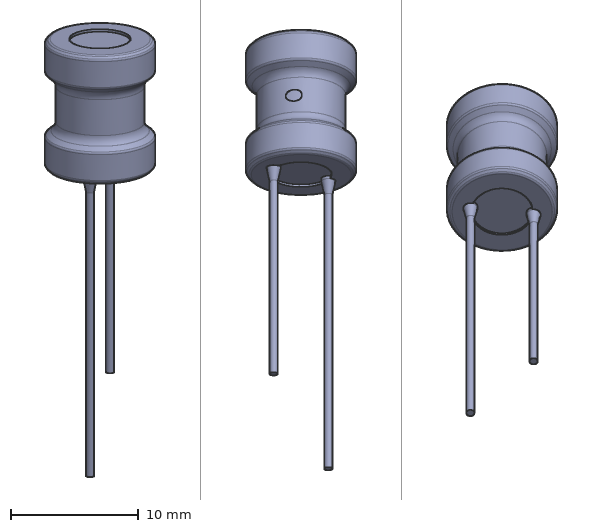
import cadquery as cq
import math

total_height = 35.35
body_height = 10.68
body_radius = 4.35
body_bottom = total_height - body_height
body_middle = body_bottom + body_height / 2

waist_radius = 3.5
waist_half_length = 1.5
waist_fillet = 1.0
cone_slope = math.radians(50)
convex_fillet = 0.25
rim_chamfer = 0.32
rim_slope = math.radians(45)

sleeve_wall = 0.2
mouth_radius = 2.4

lead_offset = 1.75
wire_radius = 0.325
solder_radius = 0.55
solder_length = 1.15
short_wire_end = 7.0

mark_radius = 0.5
mark_offset = 2.23
mark_height = body_middle - 0.07
mark_direction = 45

fillet_sum = waist_fillet + convex_fillet
waist_depth = body_radius - waist_radius
cone_length = (waist_depth - fillet_sum * (1 - math.cos(cone_slope))) / math.sin(cone_slope)
flange_start = (
    waist_half_length + fillet_sum * math.sin(cone_slope) + cone_length * math.cos(cone_slope)
)

rim_width = rim_chamfer + convex_fillet * math.tan(rim_slope / 2)

face_center = (body_radius - rim_width, body_height / 2 - convex_fillet)
rim_center = (body_radius - convex_fillet, body_height / 2 - rim_width)
flange_center = (body_radius - convex_fillet, flange_start)
waist_center = (waist_radius + waist_fillet, waist_half_length)


def arc_points(center, radius, start, end):
    """Start, middle and end of an arc, with angles measured from the outward radial direction."""
    return [
        (center[0] + radius * math.cos(angle), center[1] + radius * math.sin(angle))
        for angle in (start, (start + end) / 2, end)
    ]


def make_dumbbell(inset):
    """Solid of revolution whose surface lies `inset` inside the outer surface of the body."""
    convex = convex_fillet - inset
    concave = waist_fillet + inset
    half_height = body_height / 2 - inset
    upper = (
        arc_points(face_center, convex, math.pi / 2, rim_slope)
        + arc_points(rim_center, convex, rim_slope, 0)
        + arc_points(flange_center, convex, 0, -cone_slope)
        + arc_points(waist_center, concave, math.pi - cone_slope, math.pi)
    )
    lower = [(radius, -height) for radius, height in reversed(upper)]
    points = upper + lower

    outline = cq.Workplane("XZ").moveTo(0, half_height)
    for start, middle, end in zip(points[0::3], points[1::3], points[2::3]):
        outline = outline.lineTo(*start).threePointArc(middle, end)
    outline = outline.lineTo(0, -half_height).close()
    return outline.revolve(360, (0, 0, 0), (0, 1, 0)).translate((0, 0, body_middle))


def make_lead(side, wire_end):
    """Solder and wire in one piece, on the diagonal at +X -Y (side 1) or -X +Y (side -1)."""
    lead_top = body_bottom + sleeve_wall
    lead = (
        cq.Workplane("XZ")
        .moveTo(0, lead_top)
        .lineTo(solder_radius, lead_top)
        .lineTo(solder_radius, body_bottom)
        .lineTo(wire_radius, body_bottom - solder_length)
        .lineTo(wire_radius, wire_end)
        .lineTo(0, wire_end)
        .close()
        .revolve(360, (0, 0, 0), (0, 1, 0))
    )
    return lead.translate((side * lead_offset, -side * lead_offset, 0))


def make_open_skin(core):
    """The sleeve before the holes for the leads and the start mark are made."""
    mouth = cq.Workplane("XY").workplane(offset=body_bottom).circle(mouth_radius).extrude(body_height)
    return make_dumbbell(0).cut(core).cut(mouth)


def make_mark_bar():
    """Round bar that crosses the sleeve where the start mark sits."""
    return (
        cq.Workplane("YZ")
        .center(mark_offset, mark_height)
        .circle(mark_radius)
        .extrude(-body_radius)
        .rotate((0, 0, 0), (0, 0, 1), mark_direction)
    )


core = make_dumbbell(sleeve_wall)
leads = [make_lead(side, wire_end) for side, wire_end in ((1, 0), (-1, short_wire_end))]
open_skin = make_open_skin(core)
mark_bar = make_mark_bar()
start_mark = open_skin.intersect(mark_bar)
sleeve = open_skin.cut(mark_bar)
for lead in leads:
    sleeve = sleeve.cut(lead)

result = cq.Compound.makeCompound(
    [core.val(), sleeve.val(), start_mark.val(), *[lead.val() for lead in leads]]
)